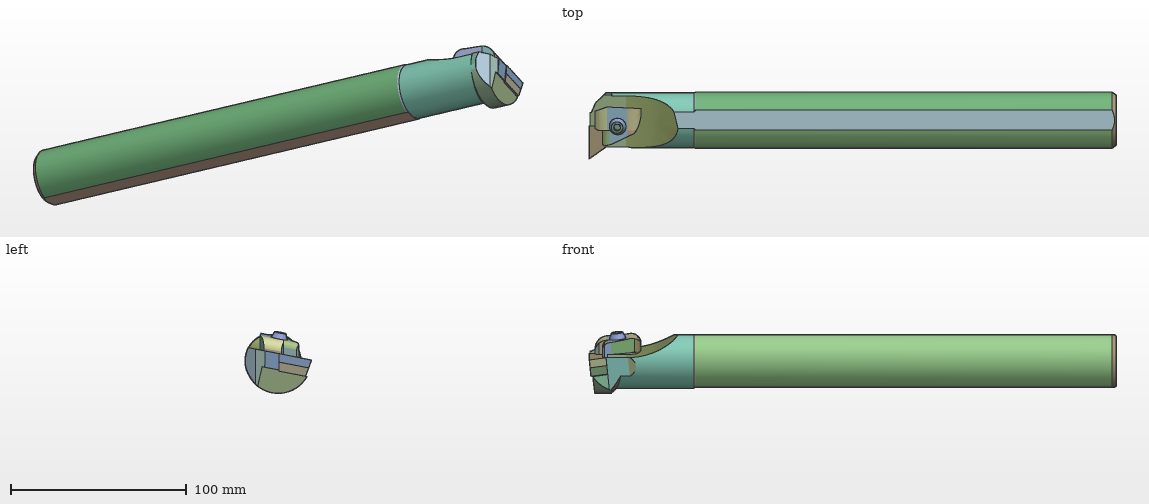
import cadquery as cq
import math


bar_length = 300.0
shank_radius = 32.0 / 2
flat_height = 15.0
end_chamfer_length = 2.5
end_chamfer_depth = 1.8
neck_length = 59.7
shoulder_length = 1.0
neck_radius = 31.5 / 2

head_radius = 37.5 / 2
head_center_y = -3.0
head_center_z = 0.3
head_length = 12.5
cone_length = 7.5
head_end_x = 1.05

overall_width = 38.0
tip_y = shank_radius - overall_width
tip_z = 0.5
rake = math.tan(math.radians(11))

end_lean = 0.1
insert_lean = 0.37
head_lean = 0.2

insert_back_y = -3.3
insert_width = 9.5
point_angle = 55.0
insert_thickness = 4.5
shim_thickness = 4.8
seat_block_x = 0.45
seat_block_end_y = 6.3

side_flat_y = -15.3
side_flat_end_x = 22.2
side_run_out_x = 32.5
side_run_out_y = -18.0
corner_points = [(1.2, 4.5), (3.5, 10.0), (9.5, 15.5)]

ramp_start_x = 21.0
ramp_radius = 45.0
ramp_angle = 45.0

clamp_top_z = 12.0
clamp_top_slope = 0.1
clamp_left_x = 3.3
clamp_left_radius = 7.0
finger_left_x = 7.5
finger_left_radius = 4.2
clamp_crown_end_x = 22.0
clamp_right_x = 29.5
clamp_right_drop = 4.0
clamp_right_mid_x = 26.5
clamp_right_mid_drop = 0.3
clamp_back_y = 7.5
finger_back_y = -6.0
clamp_nose_plan = [(8.7, -14.7), (7.5, -13.5), (7.5, -7.0), (3.3, -4.8), (3.3, 5.0), (10.2, clamp_back_y)]
clamp_right_plan = [(clamp_right_x, 6.5), (28.5, -2.0), (25.8, -7.5)]
finger_corner_plan = (12.5, -13.8)
finger_gap = 1.5
finger_gap_start_x = 10.5

screw_x = 16.2
screw_y = -3.5
screw_base_radius = 4.8
screw_top_diameter = 6.5
screw_height = 3.3
socket_diameter = 4.0
socket_depth = 2.5

beyond = 36.0


def rake_z(y):
    """Height of the rake plane at y."""
    return tip_z + rake * (y - tip_y)


def relieved_prism(outline, lean, start_depth, end_depth):
    """Prism parallel to the rake plane whose sides lean by end_lean in X and lean in Y."""
    corners = [
        cq.Vector(x + end_lean * start_depth, y + lean * start_depth, rake_z(y) - start_depth)
        for x, y in outline
    ]
    depth = end_depth - start_depth
    travel = cq.Vector(end_lean * depth, lean * depth, -depth)
    wire = cq.Wire.makePolygon(corners, close=True)
    return cq.Workplane(cq.Solid.extrudeLinear(wire, [], travel))


def raked_sweep(profile, y_start, y_end):
    """Push an XZ profile, drawn at y = 0, along Y while it climbs with the rake."""
    wire = profile.wire().val().translate(cq.Vector(0, y_start, rake * y_start))
    travel = y_end - y_start
    return cq.Workplane(cq.Solid.extrudeLinear(wire, [], cq.Vector(0, travel, rake * travel)))


def make_shank():
    end_radius = shank_radius - end_chamfer_depth
    return (
        cq.Workplane("XY")
        .moveTo(neck_length, 0)
        .lineTo(neck_length, neck_radius)
        .lineTo(neck_length + shoulder_length, shank_radius)
        .lineTo(bar_length - end_chamfer_length, shank_radius)
        .lineTo(bar_length, end_radius)
        .lineTo(bar_length, 0)
        .close()
        .revolve(360, (0, 0, 0), (1, 0, 0))
    )


def make_neck():
    return cq.Workplane("YZ").circle(neck_radius).extrude(neck_length)


def make_flat_cuts():
    """Flats above the whole bar and below the shank only."""
    block = cq.Workplane("XY").box(bar_length, beyond, beyond, centered=(False, True, False))
    return [
        block.translate((0, 0, flat_height)),
        block.translate((neck_length, 0, -flat_height - beyond)),
    ]


def make_head_disc():
    cone_end = head_length + cone_length
    return (
        cq.Workplane("XY")
        .moveTo(0, head_center_y)
        .lineTo(0, head_center_y + head_radius)
        .lineTo(head_length, head_center_y + head_radius)
        .lineTo(cone_end, head_center_y + head_radius - cone_length)
        .lineTo(cone_end, head_center_y)
        .close()
        .revolve(360, (0, head_center_y, 0), (1, head_center_y, 0))
        .translate((0, 0, head_center_z))
    )


def short_edge_x(y):
    """X along the line of the insert's short cutting edge."""
    return (y - tip_y) * math.tan(math.radians(point_angle))


def short_edge_y(x):
    """Y along the line of the insert's short cutting edge."""
    return tip_y + x / math.tan(math.radians(point_angle))


def make_relief_envelope():
    """Everything inside the relieved end face, short edge face and side flat."""
    outline = [
        (head_end_x, short_edge_y(head_end_x)),
        (short_edge_x(side_flat_y), side_flat_y),
        (side_flat_end_x, side_flat_y),
        (side_run_out_x, side_run_out_y),
        (side_run_out_x, -beyond),
        (neck_length + beyond, -beyond),
        (neck_length + beyond, beyond),
        (head_end_x, beyond),
    ]
    return relieved_prism(outline, head_lean, -beyond / 2, beyond)


def make_corner_cut():
    """Material removed by the two facets at the front corner on the +Y side."""
    first, middle, last = corner_points
    return (
        cq.Workplane("XY")
        .workplane(offset=-beyond)
        .polyline([first, middle, last, (last[0], beyond), (-beyond, beyond), (-beyond, first[1])])
        .close()
        .extrude(2 * beyond)
    )


def make_chip_pocket():
    floor_z = rake_z(0)

    def arc_point(degrees):
        turn = math.radians(degrees)
        return (ramp_start_x + ramp_radius * math.sin(turn), floor_z + ramp_radius * (1 - math.cos(turn)))

    ramp_x, ramp_z = arc_point(ramp_angle)
    profile = (
        cq.Workplane("XZ")
        .moveTo(-beyond, floor_z)
        .lineTo(ramp_start_x, floor_z)
        .threePointArc(arc_point(ramp_angle / 2), (ramp_x, ramp_z))
        .lineTo(ramp_x, ramp_z + beyond)
        .lineTo(-beyond, ramp_z + beyond)
        .close()
    )
    return raked_sweep(profile, -beyond, beyond)


def y_slab(y_start, y_end):
    """Block that keeps only what lies between two Y positions."""
    slab = cq.Workplane("XY").box(4 * beyond, y_end - y_start, 4 * beyond)
    return slab.translate((0, (y_start + y_end) / 2, 0))


def insert_layer(start_depth, end_depth):
    """Slice of the insert's outline, with leaning sides and an upright back end."""
    outline = [
        (0, tip_y),
        (insert_width, short_edge_y(insert_width)),
        (insert_width, insert_back_y),
        (0, insert_back_y),
    ]
    layer = relieved_prism(outline, insert_lean, start_depth, end_depth)
    return layer.intersect(y_slab(-beyond, insert_back_y))


def make_insert():
    return insert_layer(0, insert_thickness)


def make_shim():
    return insert_layer(insert_thickness, insert_thickness + shim_thickness)


def make_seat_clearance():
    """Opening in the head in front of the short faces of the insert and shim."""
    outline = [(0, tip_y), (insert_width, short_edge_y(insert_width)), (insert_width, -beyond), (0, -beyond)]
    return relieved_prism(outline, insert_lean, 0, insert_thickness + shim_thickness)


def make_seat_block():
    """Raised part of the end face beside the insert and shim."""
    outline = [
        (seat_block_x, -beyond),
        (insert_width, -beyond),
        (insert_width, seat_block_end_y),
        (seat_block_x, seat_block_end_y),
    ]
    block = relieved_prism(outline, 0, 0, insert_thickness + shim_thickness)
    return block.intersect(y_slab(insert_back_y, seat_block_end_y)).cut(make_corner_cut())


def clamp_top(x):
    return clamp_top_z + clamp_top_slope * x


def clamp_piece(left_x, left_radius, y_start, y_end):
    """Length of clamp with a rounded nose at left_x, resting on the rake plane."""
    crown_x = left_x + left_radius
    crown_z = clamp_top(crown_x)
    inset = left_radius * (1 - math.sqrt(0.5))
    right_z = clamp_top(clamp_crown_end_x) - clamp_right_drop
    round_mid = (clamp_right_mid_x, clamp_top(clamp_crown_end_x) - clamp_right_mid_drop)
    profile = (
        cq.Workplane("XZ")
        .moveTo(left_x, rake_z(0))
        .lineTo(left_x, crown_z - left_radius)
        .threePointArc((left_x + inset, crown_z - inset), (crown_x, crown_z))
        .lineTo(clamp_crown_end_x, clamp_top(clamp_crown_end_x))
        .threePointArc(round_mid, (clamp_right_x, right_z))
        .lineTo(clamp_right_x, rake_z(0))
        .close()
    )
    return raked_sweep(profile, y_start, y_end)


def make_clamp():
    body = clamp_piece(clamp_left_x, clamp_left_radius, finger_back_y, clamp_back_y)
    finger = clamp_piece(finger_left_x, finger_left_radius, side_flat_y, finger_back_y)
    plan = (
        cq.Workplane("XY")
        .polyline([finger_corner_plan, *clamp_nose_plan, clamp_right_plan[0]])
        .threePointArc(*clamp_right_plan[1:])
        .close()
        .extrude(beyond)
    )
    gap = (
        cq.Workplane("XZ")
        .moveTo(finger_gap_start_x, rake_z(0))
        .lineTo(clamp_right_x, rake_z(0))
        .lineTo(clamp_right_x, rake_z(0) + finger_gap)
        .lineTo(finger_gap_start_x, rake_z(0) + finger_gap)
        .close()
    )
    return body.union(finger).intersect(plan).cut(raked_sweep(gap, -beyond, finger_back_y))


def make_screw():
    """Tapered socket screw head standing square on the clamp's top face."""
    base_z = clamp_top(screw_x) + rake * screw_y
    base = cq.Plane(
        origin=(screw_x, screw_y, base_z),
        xDir=(1, 0, clamp_top_slope),
        normal=(-clamp_top_slope, -rake, 1),
    )
    top = cq.Workplane(base).workplane(offset=screw_height)
    flank_angle = math.degrees(math.atan((screw_base_radius - screw_top_diameter / 2) / screw_height))
    head = top.circle(screw_top_diameter / 2).extrude(-screw_height, taper=-flank_angle)
    socket = top.circle(socket_diameter / 2).extrude(-socket_depth)
    return head.cut(socket)


def make_bar():
    head = make_neck().union(make_head_disc())
    head = head.intersect(make_relief_envelope()).cut(make_corner_cut()).cut(make_chip_pocket())
    head = head.cut(make_seat_clearance()).cut(make_insert())
    bar = make_shank().union(head)
    for flat_cut in make_flat_cuts():
        bar = bar.cut(flat_cut)
    bar = bar.union(make_shim()).union(make_seat_block())
    return bar.union(make_clamp()).union(make_screw())


bar = make_bar()
insert = make_insert()
result = cq.Compound.makeCompound([bar.val(), insert.val()])